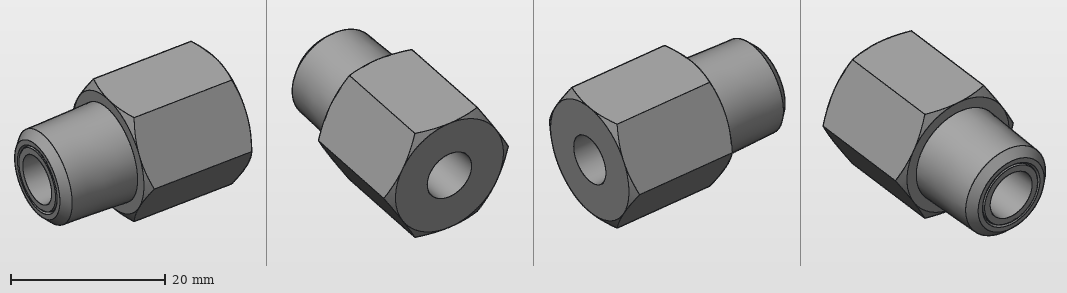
import cadquery as cq
import math

total_length = 27.5
hex_length = 16.5
across_flats = 17.0
hex_chamfer_angle = 30.0

spigot_root_radius = 6.95
spigot_taper = 1 / 16
tip_chamfer = 1.15

bore_diameter = 6.98
groove_outer_radius = 4.78
groove_valley_radius = 4.55
groove_inner_radius = 4.43
groove_depth = 0.25

spigot_length = total_length - hex_length
flat_radius = across_flats / 2
corner_radius = flat_radius / math.cos(math.radians(30))
hex_chamfer_height = (corner_radius - flat_radius) * math.tan(math.radians(hex_chamfer_angle))


def revolve_about_y(points):
    """Revolve a closed (radius, y) profile about the Y axis."""
    return cq.Workplane("XY").polyline(points).close().revolve(360, (0, 0, 0), (0, 1, 0))


def make_hexagon():
    """Hexagon with corners on X, both ends chamfered down to the flats."""
    prism = cq.Workplane("XZ").polygon(6, 2 * corner_radius).extrude(-hex_length)
    envelope = revolve_about_y([
        (0, 0),
        (flat_radius, 0),
        (corner_radius, hex_chamfer_height),
        (corner_radius, hex_length - hex_chamfer_height),
        (flat_radius, hex_length),
        (0, hex_length),
    ])
    return prism.intersect(envelope)


def make_spigot():
    """Tapered spigot with a 45 degree chamfer at its tip."""
    taper_length = spigot_length - tip_chamfer
    tip_radius = spigot_root_radius - taper_length * spigot_taper / 2
    return revolve_about_y([
        (0, 0),
        (spigot_root_radius, 0),
        (tip_radius, -taper_length),
        (tip_radius - tip_chamfer, -spigot_length),
        (0, -spigot_length),
    ])


def make_end_groove():
    """V-shaped ring cut into the spigot end face."""
    return revolve_about_y([
        (groove_inner_radius, -spigot_length),
        (groove_valley_radius, -spigot_length + groove_depth),
        (groove_outer_radius, -spigot_length),
    ])


def make_bore():
    """Cylinder running the full length of the fitting."""
    start = cq.Workplane("XZ", origin=(0, hex_length, 0))
    return start.circle(bore_diameter / 2).extrude(total_length)


result = make_hexagon().union(make_spigot()).cut(make_bore()).cut(make_end_groove())